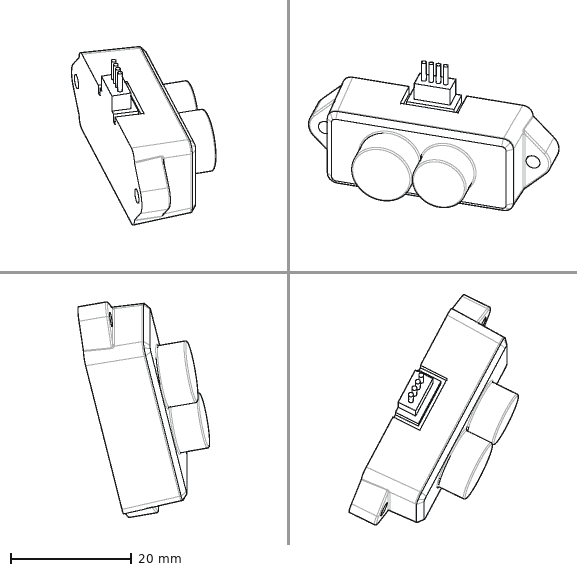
import cadquery as cq
import math

overall_width = 42
overall_depth = 16.0
overall_height = 21.5

base_width = 33.0
base_height = 15.0
corner_radius = 1.75
wall_inset = 0.38
rim_start = 9.85
housing_depth = 11.0
bevel_depth = 0.9
bevel_inset = 1.0
draft_angle = math.degrees(math.atan(wall_inset / rim_start))
bevel_angle = math.degrees(math.atan(bevel_inset / bevel_depth))
housing_top = base_height / 2

hole_spacing = 35.98
hole_diameter = 2.4
plate_depth = 5.0
plate_fillet = 0.3
ear_radius = (overall_width - hole_spacing) / 2
ear_slope = math.radians(45)

barrel_offset = 5.0
barrels = [(-barrel_offset, 4.65), (barrel_offset, 5.2)]
barrel_fillet = 0.25

slot_width = 10.0
slot_depth = plate_depth
slot_drop = 1.5
plug_width = 8.23
plug_depth = 4.3
block_width = 6.25
block_depth = 3.27
block_rise = 3.0
pin_count = 4
pin_pitch = 1.25
pin_diameter = 0.8
pin_y = 1.75
pin_top = overall_height - housing_top


def plane_at(y):
    """XZ plane at depth y, with its normal toward +Y and its local Y axis along -Z."""
    return cq.Workplane(cq.Plane(origin=(0, y, 0), xDir=(1, 0, 0), normal=(0, 1, 0)))


def make_housing():
    """Drafted walls, a short straight rim and a bevelled cap, stacked along +Y."""
    walls = (
        plane_at(0)
        .rect(base_width, base_height)
        .extrude(rim_start, taper=draft_angle)
        .edges("not #Y")
        .fillet(corner_radius)
    )
    rim_outline = walls.faces(">Y").wires()
    rim_depth = housing_depth - bevel_depth - rim_start
    rim = rim_outline.toPending().extrude(rim_depth, combine=False)
    bevel = rim.faces(">Y").wires().toPending().extrude(bevel_depth, combine=False, taper=bevel_angle)
    return walls.union(rim).union(bevel)


def make_plate():
    """Plate whose 45-degree sides are tangent to the ear arcs and run on into the housing."""
    hole_x = hole_spacing / 2
    tangent_x = hole_x + ear_radius * math.cos(ear_slope)
    tangent_z = ear_radius * math.sin(ear_slope)
    inner_z = housing_top - corner_radius / 2
    inner_x = tangent_x - (inner_z - tangent_z) / math.tan(ear_slope)
    return (
        plane_at(0)
        .moveTo(-inner_x, inner_z)
        .lineTo(inner_x, inner_z)
        .lineTo(tangent_x, tangent_z)
        .threePointArc((overall_width / 2, 0), (tangent_x, -tangent_z))
        .lineTo(inner_x, -inner_z)
        .lineTo(-inner_x, -inner_z)
        .lineTo(-tangent_x, -tangent_z)
        .threePointArc((-overall_width / 2, 0), (-tangent_x, tangent_z))
        .close()
        .extrude(plate_depth)
        .faces(">Y")
        .edges()
        .fillet(plate_fillet)
    )


def blend_plate_roots(body):
    """Concave fillets where the top of each ear meets an end wall of the housing."""
    reach = overall_width / 2
    plate_top = cq.selectors.BoxSelector(
        (-reach, plate_depth - plate_fillet, -reach), (reach, plate_depth + plate_fillet, reach)
    )
    return body.edges("|Z").edges(plate_top).fillet(plate_fillet)


def make_barrel(x, radius):
    """Solid barrel with a rounded rim and a small concave fillet at its root."""
    root_y = housing_depth
    bend = barrel_fillet * (1 - math.sqrt(0.5))
    profile = (
        cq.Workplane("XY")
        .moveTo(0, root_y - barrel_fillet)
        .lineTo(radius + barrel_fillet, root_y - barrel_fillet)
        .lineTo(radius + barrel_fillet, root_y)
        .threePointArc((radius + bend, root_y + bend), (radius, root_y + barrel_fillet))
        .lineTo(radius, overall_depth - barrel_fillet)
        .threePointArc((radius - bend, overall_depth - bend), (radius - barrel_fillet, overall_depth))
        .lineTo(0, overall_depth)
        .close()
    )
    return profile.revolve(360, (0, 0), (0, 1)).translate((x, 0, 0))


def base_box(width, depth, bottom, top):
    """Box centred on X, standing on the base face, between two Z levels."""
    box = cq.Workplane("XY").box(width, depth, top - bottom, centered=(True, False, False))
    return box.translate((0, 0, bottom))


def cut_connector_slot(body):
    """Cut a U-shaped slot around the plug, open at the base face and at the top wall."""
    slot_floor = housing_top - slot_drop
    slot = base_box(slot_width, slot_depth, slot_floor, housing_top)
    plug = base_box(plug_width, plug_depth, slot_floor, housing_top)
    return body.cut(slot.cut(plug))


def add_connector(body):
    """Add the block that rises from the plug and the pins standing on it."""
    block_top = housing_top + block_rise
    body = body.union(base_box(block_width, block_depth, housing_top - slot_drop, block_top))
    pins = (
        cq.Workplane("XY", origin=(0, pin_y, block_top))
        .rarray(pin_pitch, 0.4, pin_count, 1)
        .circle(pin_diameter / 2)
        .extrude(pin_top - block_top)
    )
    return body.union(pins)


def drill_mounting_holes(body):
    """Drill one through hole at the centre of each ear arc."""
    holes = (
        plane_at(0)
        .rarray(hole_spacing, 0.4, 2, 1)
        .circle(hole_diameter / 2)
        .extrude(plate_depth)
    )
    return body.cut(holes)


result = make_housing().union(make_plate())
result = blend_plate_roots(result)
for barrel_x, barrel_radius in barrels:
    result = result.union(make_barrel(barrel_x, barrel_radius))
result = cut_connector_slot(result)
result = add_connector(result)
result = drill_mounting_holes(result)